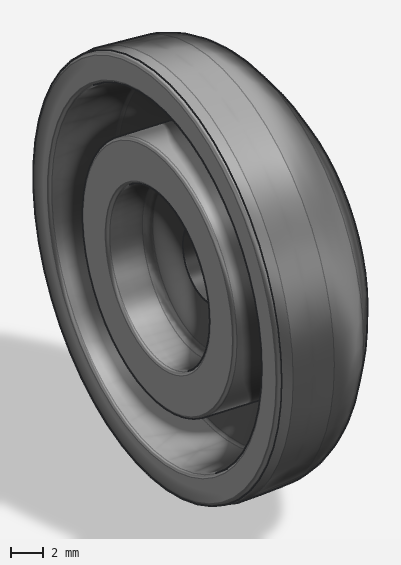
import cadquery as cq
import math


max_radius = 14.5
max_radius_y = 1.02
rim_radius = 14.38
rim_edge_y = 0.3
rim_face_radius = 14.15
shoulder_radius = 14.35
shoulder_y = 4.03
total_height = 11.48
dome_radius = 19.37
dome_edge_radius = 12.75
flat_radius = 3.85

groove_mouth_radius = 12.38
groove_wall_radius = 12.18
groove_wall_depth = 4.55
groove_floor_depth = 6.67
boss_radius = 8.93
boss_recess = 0.2
groove_outer_fillet = 0.3
boss_root_fillet = 0.5

hole_radius = 2.6
bore_radius = 5.95
bore_depth = 3.15
cone_depth = 3.6
bore_fillet = 0.5
edge_round = 0.2


def revolved(profile):
    """Turn a closed (radius, y) profile about the Y axis."""
    return profile.close().revolve(360, (0, 0, 0), (0, 1, 0))


def ring_edges(body, radius, y):
    """Select the circular edges of the given radius lying at height y."""
    tolerance = 0.003
    margin = radius + 0.3
    box = cq.selectors.BoxSelector(
        (-margin, y - tolerance, -margin), (margin, y + tolerance, margin), boundingbox=True
    )
    rings = [e for e in body.edges(box).vals()
             if e.geomType() == "CIRCLE" and abs(e.radius() - radius) < tolerance]
    return body.newObject(rings)


def make_body():
    dome_center_y = total_height - math.sqrt(dome_radius**2 - flat_radius**2)
    mid_radius = (flat_radius + dome_edge_radius) / 2

    def dome_point(radius):
        return (radius, dome_center_y + math.sqrt(dome_radius**2 - radius**2))

    return revolved(
        cq.Workplane("XY")
        .moveTo(0, 0)
        .lineTo(rim_face_radius, 0)
        .tangentArcPoint((rim_radius, rim_edge_y), relative=False)
        .lineTo(max_radius, max_radius_y)
        .lineTo(shoulder_radius, shoulder_y)
        .tangentArcPoint(dome_point(dome_edge_radius), relative=False)
        .threePointArc(dome_point(mid_radius), dome_point(flat_radius))
        .lineTo(0, total_height)
    )


def cut_groove(body):
    groove = revolved(
        cq.Workplane("XY")
        .moveTo(boss_radius, 0)
        .lineTo(groove_mouth_radius, 0)
        .lineTo(groove_wall_radius, groove_wall_depth)
        .lineTo(boss_radius, groove_floor_depth)
    )
    groove = ring_edges(groove, groove_wall_radius, groove_wall_depth).fillet(groove_outer_fillet)
    groove = ring_edges(groove, boss_radius, groove_floor_depth).fillet(boss_root_fillet)
    return body.cut(groove)


def lower_boss_face(body):
    step = cq.Workplane("XZ").circle(boss_radius).extrude(-boss_recess)
    return body.cut(step)


def cut_bore(body):
    bore = revolved(
        cq.Workplane("XY")
        .moveTo(0, 0)
        .lineTo(bore_radius, 0)
        .lineTo(bore_radius, bore_depth)
        .lineTo(hole_radius, cone_depth)
        .lineTo(hole_radius, total_height)
        .lineTo(0, total_height)
    )
    bore = ring_edges(bore, bore_radius, bore_depth).fillet(bore_fillet)
    return body.cut(bore)


def round_mouth_edges(body):
    mouth_edges = (
        (groove_mouth_radius, 0),
        (boss_radius, boss_recess),
        (bore_radius, boss_recess),
    )
    for radius, y in mouth_edges:
        body = ring_edges(body, radius, y).fillet(edge_round)
    return body


result = make_body()
result = cut_groove(result)
result = lower_boss_face(result)
result = cut_bore(result)
result = round_mouth_edges(result)